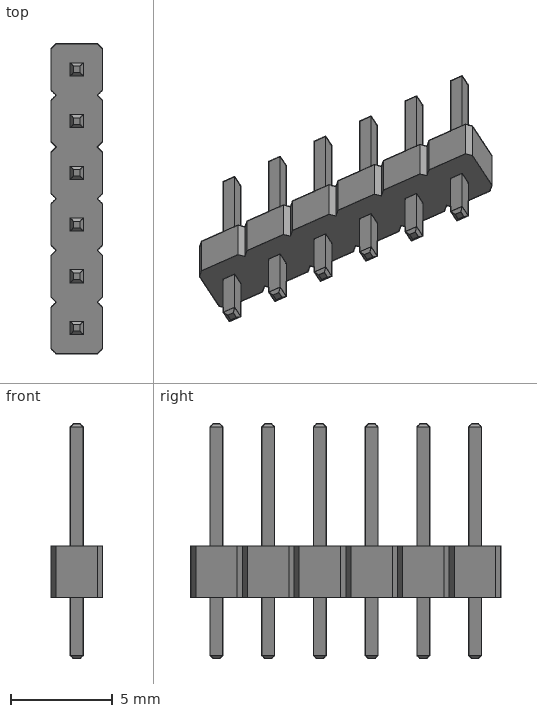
import cadquery as cq

pin_count = 6
pitch = 2.54
body_width = pitch
body_height = 2.54
body_chamfer = pitch / 10

pin_width = 0.64
pin_chamfer = pin_width / 4
pin_above_body = 6.0
pin_below_body = 3.0
pin_length = pin_below_body + body_height + pin_above_body

first_pin_y = -pitch * (pin_count - 1) / 2


def body_segment(center_y):
    """Insulator block for one pin, with its four vertical edges chamfered."""
    return (
        cq.Workplane("XY")
        .box(body_width, pitch, body_height, centered=(True, True, False))
        .edges("|Z")
        .chamfer(body_chamfer)
        .translate((0, center_y, 0))
    )


def pin(center_y):
    """Square pin through the body, chamfered around both tips."""
    return (
        cq.Workplane("XY")
        .box(pin_width, pin_width, pin_length, centered=(True, True, False))
        .faces("<Z or >Z")
        .edges()
        .chamfer(pin_chamfer)
        .translate((0, center_y, -pin_below_body))
    )


result = body_segment(first_pin_y).union(pin(first_pin_y))
for index in range(1, pin_count):
    pin_y = first_pin_y + index * pitch
    result = result.union(body_segment(pin_y)).union(pin(pin_y))

result = result.clean()